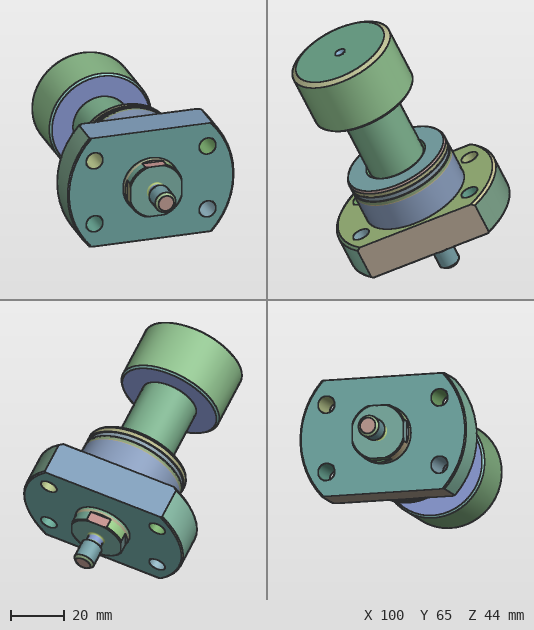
import cadquery as cq
import math


shaft_length = 100.0
head_radius = 20.0
head_length = 22.4
head_front_chamfer_radial = 2.0
head_front_chamfer_axial = head_front_chamfer_radial * math.tan(math.radians(30))
head_rear_chamfer = 0.8
rod_radius = 11.0
lead_in_start = 83.0
lead_in_end = 84.0
wrench_radius = 10.8
wrench_across_flats = 20.0
wrench_chamfer = 0.4
shoulder_x = 88.0
neck_radius = 3.0
neck_fillet = 0.6
neck_end = 91.1
neck_runout_angle = 45.0
stem_radius = 4.0
stem_tip_chamfer = 1.0

centre_mouth_radius = 2.0
centre_pilot_radius = 1.05
centre_cone_half_angle = 30.0
centre_pilot_depth = 5.0
drill_tip_half_angle = 59.0

collar_front = 50.4
collar_radius = 20.0
collar_chamfer_axial = 0.9
collar_chamfer_radial = 0.5
pilot_radius = 19.95
pilot_step_start = 56.7
pilot_step_end = 57.0
groove_start = 53.1
groove_end = 55.2
groove_radius = 19.5
flange_front = 68.0
flange_rear = 82.0
flange_radius = 32.5
flange_height = 44.0
flange_front_chamfer = 1.0
flange_rear_chamfer = 0.5
bolt_hole_diameter = 6.5
bolt_circle_radius = 25.5
bolt_angle = 30.0
bore_mouth_chamfer_radial = 1.0
bore_mouth_chamfer_axial = 0.75


def revolve_about_x(outline):
    """Turn a closed (x, radius) outline into a solid about the X axis."""
    return outline.close().revolve(360, (0, 0, 0), (1, 0, 0))


def make_centre_hole():
    half_angle = math.radians(centre_cone_half_angle)
    cone_depth = (centre_mouth_radius - centre_pilot_radius) / math.tan(half_angle)
    tip_depth = centre_pilot_depth + centre_pilot_radius / math.tan(math.radians(drill_tip_half_angle))
    return revolve_about_x(
        cq.Workplane("XY")
        .moveTo(0, 0)
        .lineTo(0, centre_mouth_radius)
        .lineTo(cone_depth, centre_pilot_radius)
        .lineTo(centre_pilot_depth, centre_pilot_radius)
        .lineTo(tip_depth, 0)
    )


def make_shaft():
    body = revolve_about_x(
        cq.Workplane("XY")
        .moveTo(0, 0)
        .lineTo(0, head_radius - head_front_chamfer_radial)
        .lineTo(head_front_chamfer_axial, head_radius)
        .lineTo(head_length - head_rear_chamfer, head_radius)
        .lineTo(head_length, head_radius - head_rear_chamfer)
        .lineTo(head_length, rod_radius)
        .lineTo(lead_in_start, rod_radius)
        .lineTo(lead_in_end, wrench_radius)
        .lineTo(shoulder_x - wrench_chamfer, wrench_radius)
        .lineTo(shoulder_x, wrench_radius - wrench_chamfer)
        .lineTo(shoulder_x, 0)
    )
    flats_length = shoulder_x - lead_in_end
    flats_centre = (lead_in_end + shoulder_x) / 2
    surround = cq.Workplane("XY").box(flats_length, 2 * rod_radius, 2 * rod_radius)
    square = cq.Workplane("XY").box(flats_length, wrench_across_flats, wrench_across_flats)
    body = body.cut(surround.cut(square).translate((flats_centre, 0, 0)))
    return body.union(make_stem()).cut(make_centre_hole())


def make_stem():
    """Threaded stem with a filleted undercut next to the shoulder."""
    runout = math.radians(neck_runout_angle)
    neck_top = neck_radius + neck_fillet * (1 - math.cos(runout))
    fillet_run = neck_fillet * math.sin(runout)
    runout_length = (stem_radius - neck_top) / math.tan(runout)
    return revolve_about_x(
        cq.Workplane("XY")
        .moveTo(shoulder_x, 0)
        .lineTo(shoulder_x, neck_radius + neck_fillet)
        .radiusArc((shoulder_x + neck_fillet, neck_radius), -neck_fillet)
        .lineTo(neck_end - fillet_run, neck_radius)
        .radiusArc((neck_end, neck_top), -neck_fillet)
        .lineTo(neck_end + runout_length, stem_radius)
        .lineTo(shaft_length - stem_tip_chamfer, stem_radius)
        .lineTo(shaft_length, stem_radius - stem_tip_chamfer)
        .lineTo(shaft_length, 0)
    )


def make_collar():
    return revolve_about_x(
        cq.Workplane("XY")
        .moveTo(collar_front, 0)
        .lineTo(collar_front, pilot_radius - collar_chamfer_radial)
        .lineTo(collar_front + collar_chamfer_axial, pilot_radius)
        .lineTo(groove_start, pilot_radius)
        .lineTo(groove_start, groove_radius)
        .lineTo(groove_end, groove_radius)
        .lineTo(groove_end, pilot_radius)
        .lineTo(pilot_step_start, pilot_radius)
        .lineTo(pilot_step_end, collar_radius)
        .lineTo(flange_front, collar_radius)
        .lineTo(flange_front, 0)
    )


def make_flange():
    thickness = flange_rear - flange_front
    disc = cq.Workplane("YZ", origin=(flange_front, 0, 0)).circle(flange_radius).extrude(thickness)
    disc = disc.faces("<X").chamfer(flange_front_chamfer)
    disc = disc.faces(">X").chamfer(flange_rear_chamfer)
    slab = cq.Workplane("XY").box(thickness, 2 * flange_radius, flange_height)
    flange = disc.intersect(slab.translate(((flange_front + flange_rear) / 2, 0, 0)))
    spacing_y = 2 * bolt_circle_radius * math.cos(math.radians(bolt_angle))
    spacing_z = 2 * bolt_circle_radius * math.sin(math.radians(bolt_angle))
    holes = (
        cq.Workplane("YZ", origin=(flange_front, 0, 0))
        .rect(spacing_y, spacing_z, forConstruction=True)
        .vertices()
        .circle(bolt_hole_diameter / 2)
        .extrude(thickness)
    )
    return flange.cut(holes)


def make_bore():
    """Guide bore for the rod, widened by a chamfer at the collar face."""
    return revolve_about_x(
        cq.Workplane("XY")
        .moveTo(collar_front, 0)
        .lineTo(collar_front, rod_radius + bore_mouth_chamfer_radial)
        .lineTo(collar_front + bore_mouth_chamfer_axial, rod_radius)
        .lineTo(flange_rear, rod_radius)
        .lineTo(flange_rear, 0)
    )


def make_housing():
    return make_collar().union(make_flange()).cut(make_bore())


shaft = make_shaft()
housing = make_housing()

result = cq.Compound.makeCompound([shaft.val(), housing.val()])